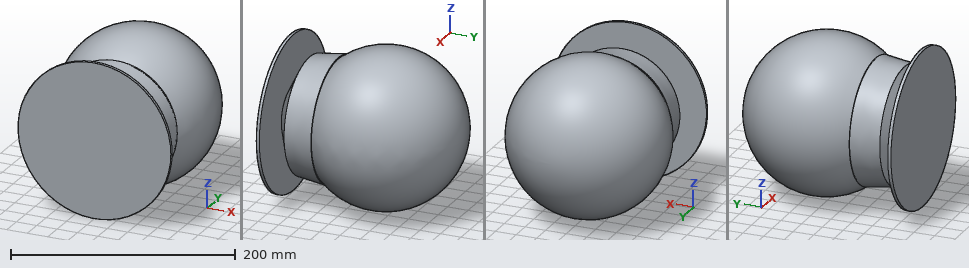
import cadquery as cq
import math

total_depth = 168.1
globe_radius = 75.0
plate_radius = globe_radius
plate_thickness = 3.0

foot_radius = 27.0
shoulder_radius = 56.0
shoulder_y = 18.7
rim_radius = 59.9
rim_y = 46.5

globe_center_y = total_depth - globe_radius
globe_seat_radius = math.sqrt(globe_radius**2 - (globe_center_y - rim_y) ** 2)


def revolve_about_y(profile):
    """Turn a closed half-profile (X = radius, Y = depth) into a round solid."""
    return profile.close().revolve(360, (0, 0, 0), (0, 1, 0))


def make_plate():
    return revolve_about_y(
        cq.Workplane("XY")
        .lineTo(plate_radius, 0)
        .lineTo(plate_radius, plate_thickness)
        .lineTo(0, plate_thickness)
    )


def make_holder():
    return revolve_about_y(
        cq.Workplane("XY")
        .moveTo(0, plate_thickness)
        .lineTo(foot_radius, plate_thickness)
        .lineTo(shoulder_radius, shoulder_y)
        .lineTo(rim_radius, rim_y)
        .lineTo(0, rim_y)
    )


def make_globe():
    return revolve_about_y(
        cq.Workplane("XY")
        .moveTo(0, rim_y)
        .lineTo(globe_seat_radius, rim_y)
        .threePointArc((globe_radius, globe_center_y), (0, total_depth))
    )


plate = make_plate()
holder = make_holder()
globe = make_globe()

result = cq.Compound.makeCompound([plate.val(), holder.val(), globe.val()])